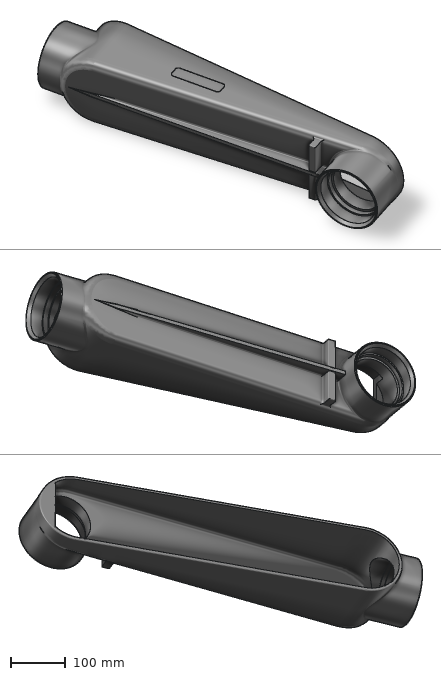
import cadquery as cq
import math


length = 732.5
end_radius = 143.0 / 2
left_center_x = 116.0
right_center_x = length - end_radius
left_tip_x = left_center_x - end_radius
back_y_right = 100.5
back_angle = 6.1
front_y_left = 28.0
front_y_right = 65.0
front_fillet = 16.0
back_rim_fillet = 3.0
wall = 6.5

socket_radius = 130.5 / 2
socket_bore_radius = 114.0 / 2
passage_radius = 100.0 / 2
seat_radius = 108.5 / 2
socket_bore_depth = 31.0
seat_depth = 41.0
mouth_radius = 62.0
mouth_depth = 6.5
mouth_outer_chamfer = 1.5
left_socket_y = 98.0
left_socket_end_x = 88.0
right_socket_x = length - socket_radius
right_socket_end_y = 84.0
passage_length = 92.0
socket_root_fillet = 4.5
right_root_end_y = 73.0
right_root_end_x = 718.0

block_start_x = 703.0

rib_start_x = 67.5
rib_end_x = right_socket_x - socket_bore_radius
rib_crest_end_y = 33.0
rib_width = 7.0
rib_full_width_x = 161.0
plate_center_x = 576.0
plate_thickness = 15.0
plate_width = 126.0
plate_crest_y = 35.0
plate_crest_fillet = 2.0
root_fillet = 4.5
embed_depth = 11.0

label_x = 305.5
label_y = 89.5
label_length = 102.5
label_width = 26.0
label_corner = 6.0
label_depth = 1.0

front_slope = (front_y_right - front_y_left) / (length - left_tip_x)
back_slope = -math.tan(math.radians(back_angle))
back_y_left = back_y_right + back_slope * (left_tip_x - length)


def front_y(x):
    """Y of the sloping front face at a place along the arm."""
    return front_y_left + front_slope * (x - left_tip_x)


def back_y(x):
    """Y of the sloping back rim at a place along the arm."""
    return back_y_left + back_slope * (x - left_tip_x)


def tapered_stadium(inset, back_extra):
    """Round-ended wedge, inset from the outer walls, extended at the back, front edge rounded."""
    radius = end_radius - inset
    center_distance = right_center_x - left_center_x
    stadium = (
        cq.Workplane("XZ")
        .center((left_center_x + right_center_x) / 2, 0)
        .slot2D(center_distance + 2 * radius, 2 * radius)
        .extrude(-2 * back_y_left)
    )
    wedge = (
        cq.Workplane("XY")
        .polyline([
            (0, front_y(0) + inset),
            (length, front_y_right + inset),
            (length, back_y_right + back_extra),
            (0, back_y(0) + back_extra),
        ])
        .close()
        .extrude(end_radius, both=True)
    )
    return stadium.intersect(wedge).faces("<Y").edges().fillet(front_fillet - inset)


def bore(plane):
    """Stepped pipe bore along the local Y axis of the plane, mouth at 0."""
    return (
        cq.Workplane(plane)
        .polyline([
            (0, 0),
            (mouth_radius, 0),
            (socket_bore_radius, mouth_depth),
            (socket_bore_radius, socket_bore_depth),
            (seat_radius, socket_bore_depth),
            (seat_radius, seat_depth),
            (passage_radius, seat_depth),
            (passage_radius, passage_length),
            (0, passage_length),
        ])
        .close()
        .revolve(360, (0, 0, 0), (0, 1, 0))
    )


def socket_wall(plane, reach):
    """Solid socket cylinder with a chamfered rim, along the local Y axis of the plane, mouth at 0."""
    return (
        cq.Workplane(plane)
        .polyline([
            (0, 0),
            (socket_radius - mouth_outer_chamfer, 0),
            (socket_radius, mouth_outer_chamfer),
            (socket_radius, reach),
            (0, reach),
        ])
        .close()
        .revolve(360, (0, 0, 0), (0, 1, 0))
    )


def edges_inside(part, zone):
    """Edges that lie wholly inside a zone given as (x from, x to, y from, y to)."""
    x_from, x_to, y_from, y_to = zone

    def is_inside(edge):
        box = edge.BoundingBox()
        return x_from < box.xmin and box.xmax < x_to and y_from < box.ymin and box.ymax < y_to

    return part.newObject([edge for edge in part.edges().vals() if is_inside(edge)])


def rib():
    """Rib along the middle of the front face, with flared roots and a sloping crest."""
    half = rib_width / 2
    root = half + root_fillet
    height = rib_end_x * front_slope
    section_plane = cq.Plane(
        origin=(rib_start_x, front_y(rib_start_x), 0),
        xDir=(0, 0, 1),
        normal=(1, front_slope, 0),
    )
    section = (
        cq.Workplane(section_plane)
        .moveTo(-root, -embed_depth)
        .lineTo(-root, 0)
        .radiusArc((-half, root_fillet), -root_fillet)
        .lineTo(-half, height)
        .lineTo(half, height)
        .lineTo(half, root_fillet)
        .radiusArc((root, 0), -root_fillet)
        .lineTo(root, -embed_depth)
        .close()
        .extrude(rib_end_x)
    )
    side = (
        cq.Workplane("XY")
        .polyline([
            (rib_start_x, front_y(rib_start_x)),
            (rib_end_x, rib_crest_end_y),
            (rib_end_x, front_y(rib_end_x) + wall / 2),
            (rib_start_x, front_y(rib_start_x) + wall / 2),
        ])
        .close()
        .extrude(root, both=True)
    )
    plan = (
        cq.Workplane("XZ")
        .polyline([
            (rib_start_x, 0),
            (rib_full_width_x, root),
            (rib_end_x, root),
            (rib_end_x, -root),
            (rib_full_width_x, -root),
        ])
        .close()
        .extrude(-back_y_left)
    )
    return section.intersect(side).intersect(plan)


def cross_plate():
    """Plate across the front face, with a rounded crest."""
    depth = front_y(plate_center_x) + embed_depth - plate_crest_y
    return (
        cq.Workplane("XY")
        .box(plate_thickness, depth, plate_width, centered=(True, False, True))
        .translate((plate_center_x, plate_crest_y, 0))
        .faces("<Y").edges().fillet(plate_crest_fillet)
    )


def label_panel():
    """Shallow round-cornered recess in the flat top of the arm."""
    return (
        cq.Workplane("XY", origin=(label_x, label_y, end_radius - label_depth))
        .rect(label_length, label_width)
        .extrude(label_depth)
        .edges("|Z").fillet(label_corner)
    )


left_plane = cq.Plane(origin=(0, left_socket_y, 0), xDir=(0, -1, 0), normal=(0, 0, 1))
right_plane = cq.Plane(origin=(right_socket_x, 0, 0), xDir=(1, 0, 0), normal=(0, 0, 1))

margin = 1.0
left_root_zone = (
    left_tip_x - margin,
    left_socket_end_x,
    left_socket_y - socket_radius - margin,
    left_socket_y + socket_radius + margin,
)
right_root_zone = (
    right_socket_x - socket_radius - margin,
    right_root_end_x,
    front_y(right_socket_x - socket_radius) - margin,
    right_root_end_y + margin,
)
plate_root_zone = (
    plate_center_x - plate_thickness / 2 - margin,
    plate_center_x + plate_thickness / 2 + margin,
    front_y(plate_center_x - plate_thickness / 2) - margin,
    front_y(plate_center_x) + embed_depth,
)

outside = tapered_stadium(0, 0).faces(">Y").edges().fillet(back_rim_fillet)
outside = outside.union(socket_wall(left_plane, left_socket_end_x))
outside = edges_inside(outside, left_root_zone).fillet(socket_root_fillet)
outside = outside.union(socket_wall(right_plane, right_root_end_y))
outside = edges_inside(outside, right_root_zone).fillet(socket_root_fillet)
outside = outside.union(socket_wall(right_plane, right_socket_end_y))
outside = outside.union(cross_plate())
outside = edges_inside(outside, plate_root_zone).fillet(root_fillet)
outside = outside.union(rib())

tip_block = cq.Workplane("XY").box(
    length - block_start_x, back_y_left, 2 * end_radius, centered=(False, False, True)
).translate((block_start_x, 0, 0))
cavity = tapered_stadium(wall, wall).cut(tip_block)

result = (
    outside
    .cut(cavity)
    .cut(bore(left_plane))
    .cut(bore(right_plane))
    .cut(label_panel())
)